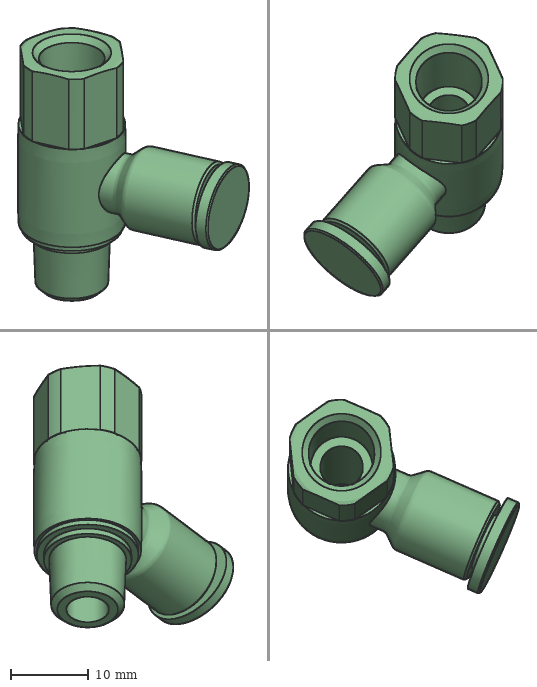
import cadquery as cq

body_radius = 7.0
body_end_radius = 6.95
body_end_taper_height = 1.95
body_bottom_z = 9.55
body_top_z = 24.0

upper_collar_radius = 6.6
upper_collar_bottom_z = 8.83
lower_collar_radius = 5.7
lower_collar_bottom_z = 8.0

thread_top_radius = 5.0
thread_bottom_radius = 4.75
thread_chamfer = 0.83

top_z = 34.5
hex_across_flats = 13.0
hex_rotation = 30
head_chamfer_radial = 0.52
head_chamfer_height = 0.15

bore_mouth_radius = 5.1
bore_countersink = 0.83
bore_floor_radius = 4.0
bore_depth = 9.65
through_hole_radius = 2.75

port_axis_z = 16.85
neck_radius = 4.0
neck_end_x = 8.05
barrel_radius = 5.6
barrel_start_x = 9.9
barrel_end_x = 20.15
barrel_end_chamfer = 0.3
shoulder_fillet = 0.85
stem_radius = 3.75

button_start_x = 20.8
button_end_x = 22.45
button_half_width = 6.5
button_half_height = 5.52
button_chamfer = 0.2


def make_body():
    """Male thread, collars and barrel of the vertical body."""
    profile = [
        (0, 0),
        (thread_bottom_radius - thread_chamfer, 0),
        (thread_bottom_radius, thread_chamfer),
        (thread_top_radius, lower_collar_bottom_z),
        (lower_collar_radius, lower_collar_bottom_z),
        (lower_collar_radius, upper_collar_bottom_z),
        (upper_collar_radius, upper_collar_bottom_z),
        (upper_collar_radius, body_bottom_z),
        (body_end_radius, body_bottom_z),
        (body_radius, body_bottom_z + body_end_taper_height),
        (body_radius, body_top_z - body_end_taper_height),
        (body_end_radius, body_top_z),
        (0, body_top_z),
    ]
    return cq.Workplane("XZ").polyline(profile).close().revolve(360, (0, 0), (0, 1))


def make_head():
    """Hexagon with flats facing +Y and -Y, its corners turned down to the body radius."""
    height = top_z - body_top_z
    hexagon = (
        cq.Workplane("XY", origin=(0, 0, body_top_z))
        .transformed(rotate=(0, 0, hex_rotation))
        .polygon(6, hex_across_flats, circumscribed=True)
        .extrude(height)
    )
    turned_envelope = (
        cq.Workplane("XY", origin=(0, 0, body_top_z))
        .circle(body_radius)
        .extrude(height)
        .faces(">Z")
        .chamfer(head_chamfer_height, head_chamfer_radial)
    )
    return hexagon.intersect(turned_envelope)


def make_bore():
    """Countersunk, tapered blind bore continued by a smaller hole to the bottom."""
    bore_floor_z = top_z - bore_depth
    profile = [
        (0, 0),
        (through_hole_radius, 0),
        (through_hole_radius, bore_floor_z),
        (bore_floor_radius, bore_floor_z),
        (bore_mouth_radius - bore_countersink, top_z - bore_countersink),
        (bore_mouth_radius, top_z),
        (0, top_z),
    ]
    return cq.Workplane("XZ").polyline(profile).close().revolve(360, (0, 0), (0, 1))


def make_port():
    """Neck, conical shoulder, barrel and stem of the side port."""
    profile = [
        (0, 0),
        (0, neck_radius),
        (neck_end_x, neck_radius),
        (barrel_start_x, barrel_radius),
        (barrel_end_x - barrel_end_chamfer, barrel_radius),
        (barrel_end_x, barrel_radius - barrel_end_chamfer),
        (barrel_end_x, stem_radius),
        (button_start_x, stem_radius),
        (button_start_x, 0),
    ]
    port = (
        cq.Workplane("XZ", origin=(0, 0, port_axis_z))
        .polyline(profile)
        .close()
        .revolve(360, (0, 0), (1, 0))
    )
    margin = 0.05
    shoulder_edges = cq.selectors.BoxSelector(
        (neck_end_x - margin, -barrel_radius, port_axis_z - barrel_radius),
        (barrel_start_x + margin, barrel_radius, port_axis_z + barrel_radius),
    )
    return port.edges("%CIRCLE").edges(shoulder_edges).fillet(shoulder_fillet)


def make_button():
    """Elliptical flange with a chamfered outer rim."""
    return (
        cq.Workplane("YZ", origin=(button_start_x, 0, port_axis_z))
        .ellipse(button_half_width, button_half_height)
        .extrude(button_end_x - button_start_x)
        .faces(">X")
        .chamfer(button_chamfer)
    )


result = make_body().union(make_head()).union(make_port()).union(make_button()).cut(make_bore())